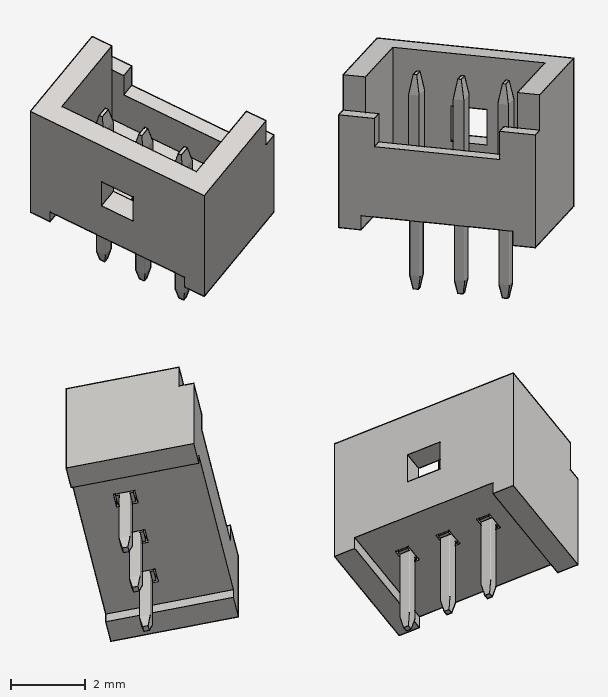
import cadquery as cq
WIDTH = 5.5
DEPTH = 3.5
HEIGHT = 4.2
OVERALL_HEIGHT = 6.5

SIDE_WALL = 0.625
FRONT_WALL = 0.6
BACK_WALL = 0.4
FLOOR_TOP = 1.15
BACK_WALL_DROP = 1.0

NOTCH_WIDTH = 3.505
NOTCH_BOTTOM = 2.4
WINDOW_SIZE = 1.0
WINDOW_BOTTOM = 1.7

FOOT_WIDTH = SIDE_WALL
FOOT_HEIGHT = 0.4

PIN_COUNT = 3
PIN_PITCH = 1.25
PIN_Y = -0.45
PIN_CLEARANCE = 0.049

PIN_WIDTH = 0.3
PIN_BOTTOM = HEIGHT - OVERALL_HEIGHT
PIN_TOP = 3.8
TAIL_TAPER = 0.4
TAIL_TIP = 0.15
TAIL_EDGE_RADIUS = 0.01
BLADE_BOTTOM = FOOT_HEIGHT
BLADE_DEPTH = 0.49
BLADE_TAPER = 0.55
BLADE_TIP_WIDTH = 0.1
BLADE_TIP_DEPTH = 0.3

FRONT_Y = -DEPTH / 2
BACK_Y = DEPTH / 2
FIRST_PIN_X = -PIN_PITCH * (PIN_COUNT - 1) / 2
PIN_POSITIONS = [(FIRST_PIN_X + i * PIN_PITCH, PIN_Y) for i in range(PIN_COUNT)]


def block(width, y_start, y_end, z_bottom, z_top):
    """Box centred on X, spanning the given Y and Z ranges."""
    size = (width, y_end - y_start, z_top - z_bottom)
    return cq.Workplane("XY").box(*size, centered=(True, False, False)).translate((0, y_start, z_bottom))


def make_housing():
    """Open-topped shell with a lowered, notched back wall, a front window and a clear hole for each pin."""
    body = block(WIDTH, FRONT_Y, BACK_Y, 0, HEIGHT)
    cavity = block(WIDTH - 2 * SIDE_WALL, FRONT_Y + FRONT_WALL, BACK_Y - BACK_WALL, FLOOR_TOP, HEIGHT)
    back_step = block(WIDTH, BACK_Y - BACK_WALL, BACK_Y, HEIGHT - BACK_WALL_DROP, HEIGHT)
    back_notch = block(NOTCH_WIDTH, BACK_Y - BACK_WALL, BACK_Y, NOTCH_BOTTOM, HEIGHT)
    window = block(WINDOW_SIZE, FRONT_Y, FRONT_Y + FRONT_WALL, WINDOW_BOTTOM, WINDOW_BOTTOM + WINDOW_SIZE)
    foot_gap = block(WIDTH - 2 * FOOT_WIDTH, FRONT_Y, BACK_Y, 0, FOOT_HEIGHT)
    pin_holes = (
        cq.Workplane("XY")
        .pushPoints(PIN_POSITIONS)
        .rect(PIN_WIDTH + 2 * PIN_CLEARANCE, BLADE_DEPTH + 2 * PIN_CLEARANCE)
        .extrude(FLOOR_TOP)
    )
    for cut in (cavity, back_step, back_notch, window, foot_gap, pin_holes):
        body = body.cut(cut)
    return body


def taper(z_start, size_start, z_end, size_end):
    """Rectangular frustum between two heights."""
    return (
        cq.Workplane("XY", origin=(0, 0, z_start))
        .rect(*size_start)
        .workplane(offset=z_end - z_start)
        .rect(*size_end)
        .loft(ruled=True)
    )


def make_tail():
    """Square lower half of a pin, with a tapered tip and slightly rounded long edges."""
    tip_top = PIN_BOTTOM + TAIL_TAPER
    shank = block(PIN_WIDTH, -PIN_WIDTH / 2, PIN_WIDTH / 2, tip_top, BLADE_BOTTOM)
    tip = taper(PIN_BOTTOM, (TAIL_TIP, TAIL_TIP), tip_top, (PIN_WIDTH, PIN_WIDTH))
    return shank.union(tip).edges("|Z").fillet(TAIL_EDGE_RADIUS)


def make_blade():
    """Deeper upper half of a pin, tapered on all four sides."""
    tip_bottom = PIN_TOP - BLADE_TAPER
    shank = block(PIN_WIDTH, -BLADE_DEPTH / 2, BLADE_DEPTH / 2, BLADE_BOTTOM, tip_bottom)
    tip = taper(tip_bottom, (PIN_WIDTH, BLADE_DEPTH), PIN_TOP, (BLADE_TIP_WIDTH, BLADE_TIP_DEPTH))
    return shank.union(tip)


def make_pin(x, y):
    return make_tail().union(make_blade()).translate((x, y, 0))


housing = make_housing()
pins = [make_pin(x, y) for x, y in PIN_POSITIONS]

result = cq.Compound.makeCompound([housing.val(), *[pin.val() for pin in pins]])